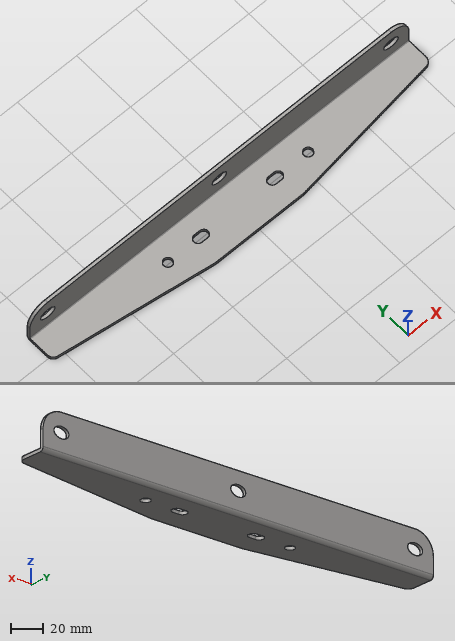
import cadquery as cq

length = 320.0
depth = 40.0
height = 30.0
thickness = 2.5
bend_outer_radius = 3.0
bend_inner_radius = bend_outer_radius - thickness

end_depth = 23.0
front_edge_length = 74.2
end_corner_radius = 5.0

upright_corner_radius = 15.0
upright_opening_length = 12.0
upright_opening_width = 8.3
upright_opening_height = 16.3
upright_opening_spacing = 145.0

base_hole_diameter = 7.0
base_slot_length = 12.0
base_slot_width = base_hole_diameter
base_hole_offset = 59.2
base_slot_offset = 31.5
base_opening_depth = 20.0

half_length = length / 2
half_front_edge = front_edge_length / 2


def make_angle():
    """L-shaped sheet with a rounded bend, running along X."""
    profile = [
        (0, 0),
        (0, height),
        (-thickness, height),
        (-thickness, thickness),
        (-depth, thickness),
        (-depth, 0),
    ]
    angle = cq.Workplane("YZ").polyline(profile).close().extrude(half_length, both=True)
    inner_bend = cq.selectors.NearestToPointSelector((0, -thickness, thickness))
    angle = angle.edges("|X").edges(inner_bend).fillet(bend_inner_radius)
    outer_bend = cq.selectors.NearestToPointSelector((0, 0, 0))
    return angle.edges("|X").edges(outer_bend).fillet(bend_outer_radius)


def make_base_envelope():
    """Full-height prism with the tapered plan outline of the base flange."""
    outline = [
        (-half_length, 0),
        (-half_length, -end_depth),
        (-half_front_edge, -depth),
        (half_front_edge, -depth),
        (half_length, -end_depth),
        (half_length, 0),
    ]
    prism = cq.Workplane("XY").polyline(outline).close().extrude(height)
    end_corners = cq.selectors.BoxSelector(
        (-length, -end_depth - thickness, 0),
        (length, -end_depth + thickness, height),
    )
    return prism.edges("|Z").edges(end_corners).fillet(end_corner_radius)


def make_upright_envelope():
    """Full-depth prism with the rounded upper corners of the upright flange."""
    block = cq.Workplane("XY").box(length, depth, height, centered=(True, False, False))
    block = block.translate((0, -depth, 0))
    return block.edges("|Y and >Z").fillet(upright_corner_radius)


def make_upright_openings():
    """Cutters for the three elliptical openings in the upright flange."""
    centres = [(x, upright_opening_height) for x in (-upright_opening_spacing, 0, upright_opening_spacing)]
    openings = cq.Workplane("XZ").pushPoints(centres)
    outlines = openings.ellipse(upright_opening_length / 2, upright_opening_width / 2)
    return outlines.extrude(thickness)


def make_base_openings():
    """Cutters for the round holes and straight slots in the base flange."""
    holes = (
        cq.Workplane("XY")
        .pushPoints([(side * base_hole_offset, -base_opening_depth) for side in (-1, 1)])
        .circle(base_hole_diameter / 2)
        .extrude(thickness)
    )
    slots = (
        cq.Workplane("XY")
        .pushPoints([(side * base_slot_offset, -base_opening_depth) for side in (-1, 1)])
        .slot2D(base_slot_length, base_slot_width)
        .extrude(thickness)
    )
    return holes.union(slots)


bracket = make_angle().intersect(make_base_envelope()).intersect(make_upright_envelope())
result = bracket.cut(make_upright_openings()).cut(make_base_openings())